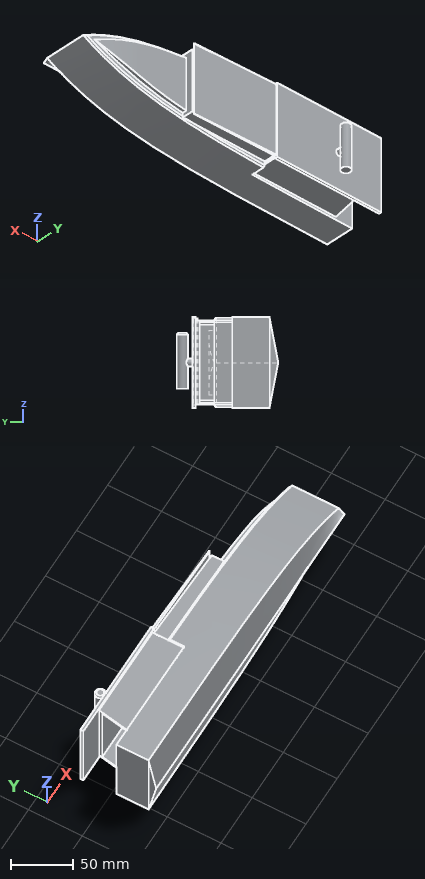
import cadquery as cq

length = 307.5
beam = 73.5
half_beam = beam / 2

transom_x = 2.0
keel_end_x = 304.5
chine_y = 7.0
cockpit_y = 37.0
cockpit_end_x = 111.0
deck_y = 51.5
deck_chamfer = 1.5
flank_aft_handle_x = 160.8
flank_fore_handle_x = 243.0

cabin_half_width = 33.8
cabin_wall = 1.5
cabin_top_thickness = 3.5
cabin_aft_bottom_x = 20.0
cabin_aft_top_x = 25.2

aft_roof_bottom_y = 66.5
aft_roof_thickness = 2.8
aft_roof_top_y = aft_roof_bottom_y + aft_roof_thickness
aft_roof_end_x = 113.5

fore_cabin_half_width = 30.7
fore_cabin_end_x = 200.5
fore_cabin_aft_y = 66.0
fore_cabin_fore_y = 63.0

fore_roof_aft_top_y = 68.2
fore_roof_fore_top_y = 65.5
fore_roof_fore_bottom_y = 65.0
fore_roof_min_z = -34.0
fore_roof_max_z = 35.7

foredeck_top_y = 56.0
foredeck_end_x = 296.7
foredeck_points = [(fore_cabin_end_x, 26.0), (239.8, 19.5), (273.5, 9.2), (foredeck_end_x, 0)]
foredeck_curve_x = 252.0
foredeck_curve_middle = (276.7, 54.7)

post_x = 45.8
post_radius = 3.5
bar_radius = 4.5
overall_height = 81.8
bar_y = overall_height - bar_radius
bar_min_z = -21.2
bar_max_z = 24.0
bar_chamfer = 1.5


def block(outline, min_z, max_z):
    """Extrude a closed XY outline between two Z positions."""
    return cq.Workplane("XY").workplane(offset=min_z).polyline(outline).close().extrude(max_z - min_z)


def flank_edge(side):
    """Chine edge of one side, from the transom to the bow tip."""
    handles = [cq.Vector(x, chine_y, side * half_beam) for x in (flank_aft_handle_x, flank_fore_handle_x)]
    start = cq.Vector(transom_x, chine_y, side * half_beam)
    tip = cq.Vector(length, chine_y, 0)
    return cq.Edge.makeBezier([start, *handles, tip])


def waterplane():
    """Closed wire round the hull at chine height."""
    corners = [cq.Vector(transom_x, chine_y, side * half_beam) for side in (-1, 1)]
    transom = cq.Edge.makeLine(*corners)
    return cq.Wire.assembleEdges([transom, flank_edge(1), flank_edge(-1)])


def make_bottom():
    """Vee bottom: ruled surfaces from each chine down to the straight keel."""
    keel_start = cq.Vector(transom_x, 0, 0)
    keel = cq.Edge.makeLine(keel_start, cq.Vector(keel_end_x, 0, 0))
    faces = [cq.Face.makeFromWires(waterplane())]
    faces += [cq.Face.makeRuledSurface(flank_edge(side), keel) for side in (-1, 1)]
    transom_corners = [cq.Vector(transom_x, chine_y, side * half_beam) for side in (-1, 1)]
    faces.append(cq.Face.makeFromWires(cq.Wire.makePolygon([*transom_corners, keel_start], close=True)))
    return cq.Workplane(cq.Solid.makeSolid(cq.Shell.makeShell(faces)).fix())


def make_hull():
    """Upright sides with a chamfered deck edge and a cockpit step cut in aft."""
    rise = cq.Vector(0, deck_y - chine_y, 0)
    sides = cq.Workplane(cq.Solid.extrudeLinear(waterplane(), [], rise))
    cockpit_outline = [
        (0, cockpit_y),
        (cockpit_end_x, cockpit_y),
        (cockpit_end_x, deck_y),
        (0, deck_y),
    ]
    cockpit = block(cockpit_outline, -beam, beam)
    return sides.faces(">Y").edges().chamfer(deck_chamfer).cut(cockpit)


def make_aft_cabin():
    profile = [
        (cabin_aft_bottom_x, cockpit_y),
        (cockpit_end_x, cockpit_y),
        (cockpit_end_x, aft_roof_bottom_y),
        (cabin_aft_top_x, aft_roof_bottom_y),
    ]
    inside_top_y = aft_roof_bottom_y - cabin_top_thickness
    inside_outline = [
        (0, cockpit_y),
        (cockpit_end_x, cockpit_y),
        (cockpit_end_x, inside_top_y),
        (0, inside_top_y),
    ]
    inside_half_width = cabin_half_width - cabin_wall
    inside = block(inside_outline, -inside_half_width, inside_half_width)
    return block(profile, -cabin_half_width, cabin_half_width).cut(inside)


def make_fore_cabin():
    profile = [
        (cockpit_end_x, deck_y),
        (fore_cabin_end_x, deck_y),
        (fore_cabin_end_x, fore_cabin_fore_y),
        (cockpit_end_x, fore_cabin_aft_y),
    ]
    return block(profile, -fore_cabin_half_width, fore_cabin_half_width)


def make_aft_roof():
    profile = [
        (0, aft_roof_bottom_y),
        (aft_roof_end_x, aft_roof_bottom_y),
        (aft_roof_end_x, aft_roof_top_y),
        (0, aft_roof_top_y),
    ]
    return block(profile, -half_beam, half_beam)


def make_fore_roof():
    profile = [
        (aft_roof_end_x, fore_cabin_aft_y),
        (fore_cabin_end_x, fore_roof_fore_bottom_y),
        (fore_cabin_end_x, fore_roof_fore_top_y),
        (aft_roof_end_x, fore_roof_aft_top_y),
    ]
    return block(profile, fore_roof_min_z, fore_roof_max_z)


def make_foredeck():
    """Pointed plan, topped by a surface that curves down to the bow."""
    mirrored_flank = [(x, -half_width) for x, half_width in reversed(foredeck_points)]
    plan = (
        cq.Workplane("XZ")
        .moveTo(*foredeck_points[0])
        .spline(foredeck_points[1:], includeCurrent=True)
        .spline(mirrored_flank[1:], includeCurrent=True)
        .close()
        .extrude(-foredeck_top_y)
    )
    profile = (
        cq.Workplane("XY")
        .workplane(offset=-half_beam)
        .moveTo(fore_cabin_end_x, deck_y)
        .lineTo(fore_cabin_end_x, foredeck_top_y)
        .lineTo(foredeck_curve_x, foredeck_top_y)
        .threePointArc(foredeck_curve_middle, (foredeck_end_x, deck_y))
        .close()
        .extrude(beam)
    )
    return profile.intersect(plan)


def make_bar():
    return (
        cq.Workplane("XY")
        .workplane(offset=bar_min_z)
        .center(post_x, bar_y)
        .circle(bar_radius)
        .extrude(bar_max_z - bar_min_z)
        .faces(">Z")
        .chamfer(bar_chamfer)
    )


def make_roof_fitting():
    """Bar and its post in one piece."""
    height = bar_y - aft_roof_top_y
    base = cq.Vector(post_x, aft_roof_top_y, 0)
    post = cq.Workplane(cq.Solid.makeCylinder(post_radius, height, base, cq.Vector(0, 1, 0)))
    return make_bar().union(post)


bottom = make_bottom()
hull = make_hull()
aft_cabin = make_aft_cabin()
fore_cabin = make_fore_cabin()
aft_roof = make_aft_roof()
fore_roof = make_fore_roof()
foredeck = make_foredeck()
roof_fitting = make_roof_fitting()

bodies = [bottom, hull, aft_cabin, fore_cabin, aft_roof, fore_roof, foredeck, roof_fitting]
result = cq.Compound.makeCompound([solid for body in bodies for solid in body.solids().vals()])